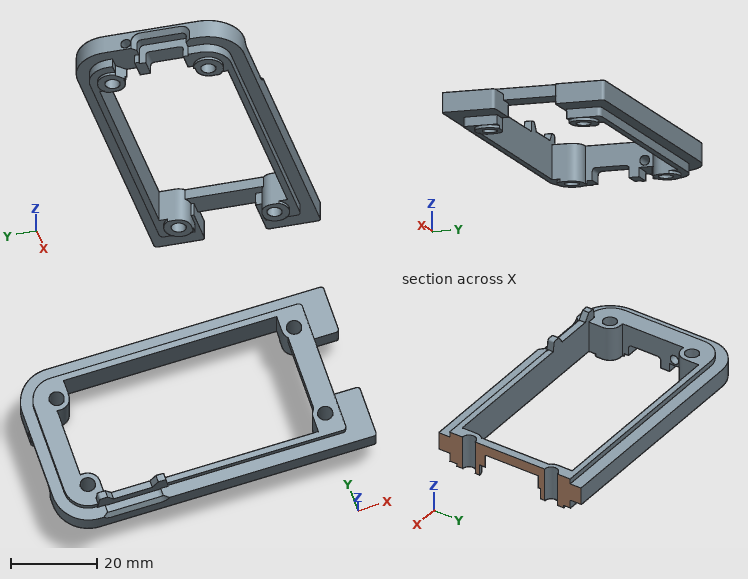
import cadquery as cq
import math

LENGTH = 76.4
WIDTH = 40.0
HEIGHT = 11.7

FOOT_HEIGHT = 0.7
RIM_BOTTOM = 2.9
RIM_TOP = 7.65
FRAME_TOP = 9.0

RIM_NOSE_RADIUS = 8.6
RIM_TAIL_RADIUS = 0.8
TAIL_GAP_Y_MIN = -6.95
TAIL_GAP_Y_MAX = 7.9

RIM_LEDGE = 2.8
FRAME_X_MAX = 70.05
FRAME_Y_MAX = 16.95
FRAME_NOSE_RADIUS = RIM_NOSE_RADIUS - RIM_LEDGE
FRAME_TAIL_RADIUS = 1.0

OPENING_X_MIN = 7.65
OPENING_X_MAX = 64.4
OPENING_Y_MAX = 15.4

SCREW_X = (8.5, 66.55)
SCREW_Y = 11.5
SCREW_DIAMETER = 3.5
BOSS_RADIUS = 3.0
FOOT_DIAMETER = 7.0
BOSS_Y_MIN = SCREW_Y - BOSS_RADIUS
TAIL_WALL_BOTTOM = 6.3

RECESS_Y_MIN = -8.2
RECESS_Y_MAX = 3.7
RECESS_TOP = 5.8
RECESS_DEPTH = 3.35
RECESS_RADIUS = 1.15
RECESS_FLARE = 1.15
PORT_Y_MIN = -6.9
PORT_Y_MAX = 2.15
PORT_TOP = 3.7
PORT_RADIUS = 0.9

CABLE_Y = 6.0
CABLE_Z = 4.5
CABLE_DIAMETER = 2.4
CHANNEL_Y_MIN = 4.65
CHANNEL_Y_MAX = 10.0
CHANNEL_NECK_Y = 7.9
CHANNEL_NECK_LENGTH = CHANNEL_Y_MAX - CHANNEL_NECK_Y

TAB_X = 17.65
TAB_Y_MIN = -17.2
TAB_Y_MAX = -OPENING_Y_MAX
TAB_BASE_HALF = 8.6
TAB_TOP_HALF = 8.1
TAB_NOTCH_TOP_HALF = 6.2
TAB_NOTCH_HALF = 4.7
TAB_NOTCH_Z = 9.7
TAB_TIP_RADIUS = 0.5

GROOVE_FLOOR_HALF = 6.0
GROOVE_DEPTH = 0.27
GROOVE_RADIUS = 1.2
GROOVE_FLARE = 1.0


def block(x_min, x_max, y_min, y_max, z_min, z_max):
    """Box given by its limits along each axis."""
    size = (x_max - x_min, y_max - y_min, z_max - z_min)
    return cq.Workplane("XY").box(*size, centered=False).translate((x_min, y_min, z_min))


def rounded_slab(x_min, x_max, y_max, z_min, z_max, nose_radius, tail_radius):
    """Slab with large corner rounds at the nose and small ones at the tail."""
    slab = block(x_min, x_max, -y_max, y_max, z_min, z_max)
    return slab.edges("|Z and <X").fillet(nose_radius).edges("|Z and >X").fillet(tail_radius)


def make_rim():
    rim = rounded_slab(0, LENGTH, WIDTH / 2, RIM_BOTTOM, RIM_TOP, RIM_NOSE_RADIUS, RIM_TAIL_RADIUS)
    gap = block(FRAME_X_MAX, LENGTH, TAIL_GAP_Y_MIN, TAIL_GAP_Y_MAX, RIM_BOTTOM, RIM_TOP)
    rim = rim.cut(gap)
    gap_corners = cq.selectors.BoxSelector(
        (LENGTH - RIM_TAIL_RADIUS, TAIL_GAP_Y_MIN - RIM_TAIL_RADIUS, RIM_BOTTOM),
        (LENGTH + RIM_TAIL_RADIUS, TAIL_GAP_Y_MAX + RIM_TAIL_RADIUS, RIM_TOP),
    )
    return rim.edges("|Z").edges(gap_corners).fillet(RIM_TAIL_RADIUS)


def make_frame():
    return rounded_slab(
        RIM_LEDGE, FRAME_X_MAX, FRAME_Y_MAX, 0, FRAME_TOP, FRAME_NOSE_RADIUS, FRAME_TAIL_RADIUS
    )


def make_opening():
    return block(OPENING_X_MIN, OPENING_X_MAX, -OPENING_Y_MAX, OPENING_Y_MAX, 0, HEIGHT)


def make_tail_undercut():
    """Space under the tail wall: wide inside, then stepped to the rim gap and to the boss sides."""
    tail_x = SCREW_X[1]
    inner = block(OPENING_X_MIN, tail_x, -SCREW_Y, SCREW_Y, 0, TAIL_WALL_BOTTOM)
    at_rim = block(tail_x, FRAME_X_MAX, TAIL_GAP_Y_MIN, TAIL_GAP_Y_MAX, RIM_BOTTOM, TAIL_WALL_BOTTOM)
    below_rim = block(tail_x, FRAME_X_MAX, -BOSS_Y_MIN, BOSS_Y_MIN, 0, RIM_BOTTOM)
    return inner.union(at_rim).union(below_rim)


def make_bosses():
    """Corner bosses around the screws, each rounded towards the opening."""
    nose_x, tail_x = SCREW_X
    nose = block(OPENING_X_MIN, nose_x + BOSS_RADIUS, BOSS_Y_MIN, OPENING_Y_MAX, 0, FRAME_TOP)
    nose = nose.edges("|Z and >X and <Y").fillet(BOSS_RADIUS)
    tail = block(tail_x - BOSS_RADIUS, FRAME_X_MAX, BOSS_Y_MIN, OPENING_Y_MAX, 0, FRAME_TOP)
    tail = tail.edges("|Z and <X and <Y").fillet(BOSS_RADIUS)
    pair = nose.union(tail)
    return pair.union(pair.mirror("XZ"))


def screw_cylinders(diameter, height):
    """Upright cylinders on the four screw axes."""
    points = [(x, y) for x in SCREW_X for y in (-SCREW_Y, SCREW_Y)]
    return cq.Workplane("XY").pushPoints(points).circle(diameter / 2).extrude(height)


def make_foot_relief():
    """Thin layer taken off the underside, leaving a round foot under each boss."""
    layer = block(0, LENGTH, -WIDTH / 2, WIDTH / 2, 0, FOOT_HEIGHT)
    return layer.cut(screw_cylinders(FOOT_DIAMETER, FOOT_HEIGHT))


def rounded_arch(x, y_min, y_max, top, radius):
    """Closed outline in the plane at x, open down to Z = 0, with rounded upper corners."""
    return (
        cq.Workplane("YZ", origin=(x, 0, 0))
        .moveTo(y_min, 0)
        .lineTo(y_min, top - radius)
        .radiusArc((y_min + radius, top), radius)
        .lineTo(y_max - radius, top)
        .radiusArc((y_max, top - radius), radius)
        .lineTo(y_max, 0)
        .close()
    )


def recess_outline(x, grow=0.0):
    """Recess outline with rounded upper corners in the plane at x, grown evenly on its sides and top."""
    y_min = RECESS_Y_MIN - grow
    y_max = RECESS_Y_MAX + grow
    return rounded_arch(x, y_min, y_max, RECESS_TOP + grow, RECESS_RADIUS + grow)


def loft_between(first, second):
    """Ruled solid between two closed outlines."""
    return cq.Workplane(cq.Solid.makeLoft([first.wires().val(), second.wires().val()], True))


def make_recess():
    """Connector recess with a 45 degree flare at its mouth and a smaller port through the wall."""
    recess = recess_outline(0).extrude(RECESS_DEPTH)
    flare = loft_between(recess_outline(0, RECESS_FLARE), recess_outline(RECESS_FLARE))
    port = rounded_arch(0, PORT_Y_MIN, PORT_Y_MAX, PORT_TOP, PORT_RADIUS).extrude(OPENING_X_MIN)
    return recess.union(flare).union(port)


def make_cable_passage():
    """Round cable hole through the nose wall, with an open channel below the rim."""
    hole = (
        cq.Workplane("YZ")
        .center(CABLE_Y, CABLE_Z)
        .circle(CABLE_DIAMETER / 2)
        .extrude(OPENING_X_MIN)
    )
    channel = (
        cq.Workplane("XY")
        .moveTo(0, CHANNEL_Y_MIN)
        .lineTo(OPENING_X_MIN, CHANNEL_Y_MIN)
        .lineTo(OPENING_X_MIN, CHANNEL_NECK_Y)
        .lineTo(OPENING_X_MIN - CHANNEL_NECK_LENGTH, CHANNEL_Y_MAX)
        .lineTo(0, CHANNEL_Y_MAX)
        .close()
        .extrude(RIM_BOTTOM)
    )
    return hole.union(channel)


def groove_outline(y, grow=0.0):
    """Groove section in the plane at y: flat floor with arcs up to the rim top, grown by a set amount."""
    radius = GROOVE_RADIUS + grow
    depth = GROOVE_DEPTH + grow
    top_half = GROOVE_FLOOR_HALF + math.sqrt(2 * radius * depth - depth**2)
    return (
        cq.Workplane("XZ", origin=(TAB_X, y, 0))
        .moveTo(-GROOVE_FLOOR_HALF, RIM_TOP - depth)
        .lineTo(GROOVE_FLOOR_HALF, RIM_TOP - depth)
        .radiusArc((top_half, RIM_TOP), -radius)
        .lineTo(-top_half, RIM_TOP)
        .radiusArc((-GROOVE_FLOOR_HALF, RIM_TOP - depth), -radius)
        .close()
    )


def make_groove():
    """Shallow groove from the tab to the outer side, with a 45 degree flare at its mouth."""
    flare_y = GROOVE_FLARE - WIDTH / 2
    floor = groove_outline(TAB_Y_MIN).extrude(TAB_Y_MIN - flare_y)
    flare = loft_between(groove_outline(flare_y), groove_outline(-WIDTH / 2, GROOVE_FLARE))
    return floor.union(flare)


def make_tab():
    half = [
        (TAB_BASE_HALF, RIM_TOP),
        (TAB_TOP_HALF, HEIGHT),
        (TAB_NOTCH_TOP_HALF, HEIGHT),
        (TAB_NOTCH_HALF, TAB_NOTCH_Z),
    ]
    outline = half + [(-x, z) for x, z in reversed(half)]
    tab = cq.Workplane("XZ").polyline(outline).close().extrude(TAB_Y_MIN - TAB_Y_MAX)
    tab = tab.edges("|Y and >Z").edges("<X or >X").fillet(TAB_TIP_RADIUS)
    return tab.translate((TAB_X, TAB_Y_MIN, 0))


result = make_rim().union(make_frame()).cut(make_opening())
result = result.cut(make_tail_undercut()).union(make_bosses())
result = result.cut(make_foot_relief()).cut(screw_cylinders(SCREW_DIAMETER, FRAME_TOP))
result = result.cut(make_recess()).cut(make_cable_passage())
result = result.cut(make_groove()).union(make_tab())